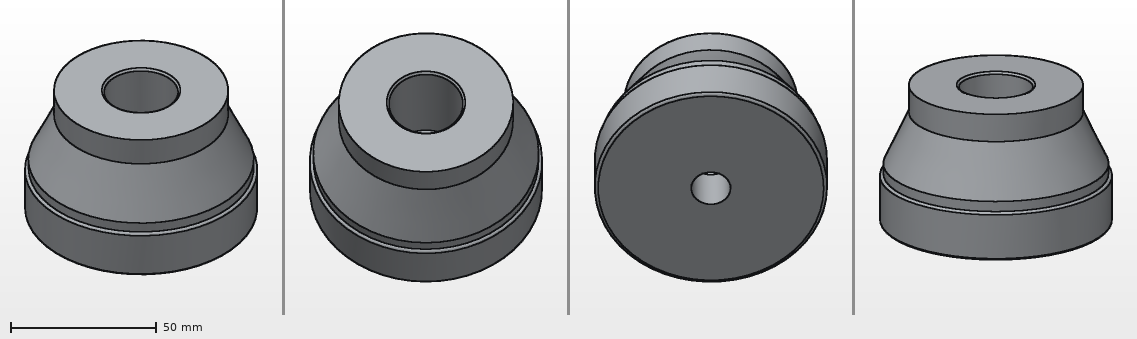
import cadquery as cq
import math

total_height = 50.0
collar_diameter = 77.6
collar_top = 21.3
neck_diameter = 60.0
neck_height = 10.0
neck_bottom = total_height - neck_height

band_diameter = 80.0
band_height = 17.6
rim_height = 0.8

through_diameter = 13.5
bore_diameter = 25.4
bore_chamfer = 0.8
bore_floor = band_height

collar_radius = collar_diameter / 2
axis_start = (0, 0, 0)
axis_end = (0, 1, 0)


def make_hub():
    """Revolved collar, cone and neck, with a chamfered stepped bore."""
    through_radius = through_diameter / 2
    bore_radius = bore_diameter / 2
    neck_radius = neck_diameter / 2
    profile = (
        cq.Workplane("XZ")
        .moveTo(through_radius, 0)
        .lineTo(collar_radius, 0)
        .lineTo(collar_radius, collar_top)
        .lineTo(neck_radius, neck_bottom)
        .lineTo(neck_radius, total_height)
        .lineTo(bore_radius + bore_chamfer, total_height)
        .lineTo(bore_radius, total_height - bore_chamfer)
        .lineTo(bore_radius, bore_floor)
        .lineTo(through_radius, bore_floor)
        .close()
    )
    return profile.revolve(360, axis_start, axis_end)


def make_band():
    """Revolved hoop whose rim arcs run level where they meet the collar."""
    band_radius = band_diameter / 2
    thickness = band_radius - collar_radius
    arc_radius = (thickness**2 + rim_height**2) / (2 * rim_height)
    half_angle = math.asin(thickness / arc_radius) / 2
    mid_radius = collar_radius + arc_radius * math.sin(half_angle)
    mid_drop = arc_radius * (1 - math.cos(half_angle))
    profile = (
        cq.Workplane("XZ")
        .moveTo(collar_radius, 0)
        .threePointArc((mid_radius, mid_drop), (band_radius, rim_height))
        .lineTo(band_radius, band_height - rim_height)
        .threePointArc((mid_radius, band_height - mid_drop), (collar_radius, band_height))
        .close()
    )
    return profile.revolve(360, axis_start, axis_end)


hub = make_hub()
band = make_band()
result = cq.Compound.makeCompound([hub.val(), band.val()])